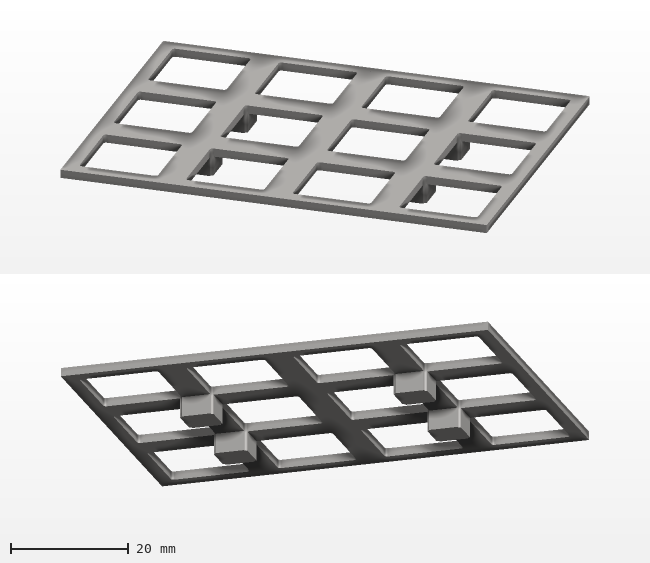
import cadquery as cq

columns = 4
rows = 3
key_pitch = 19.05
opening_size = 14.0
opening_corner_radius = 0.5

plate_length = columns * key_pitch
plate_width = rows * key_pitch
plate_thickness = 1.5

overall_height = 5.0
foot_height = overall_height - plate_thickness
foot_size = 6.0
foot_positions = [
    (x_side * key_pitch, y_side * key_pitch / 2)
    for x_side in (-1, 1)
    for y_side in (-1, 1)
]


def make_plate():
    """Flat rectangular plate centred on the Z axis."""
    return cq.Workplane("XY").box(
        plate_length, plate_width, plate_thickness, centered=(True, True, False)
    )


def make_feet():
    """Square feet hanging from the underside of the plate."""
    return (
        cq.Workplane("XY")
        .pushPoints(foot_positions)
        .rect(foot_size, foot_size)
        .extrude(-foot_height)
    )


def make_openings():
    """Rounded square key openings, running the full height of plate and feet."""
    return (
        cq.Workplane("XY")
        .workplane(offset=-foot_height)
        .rarray(key_pitch, key_pitch, columns, rows)
        .rect(opening_size, opening_size)
        .extrude(overall_height)
        .edges("|Z")
        .fillet(opening_corner_radius)
    )


result = make_plate().union(make_feet()).cut(make_openings())